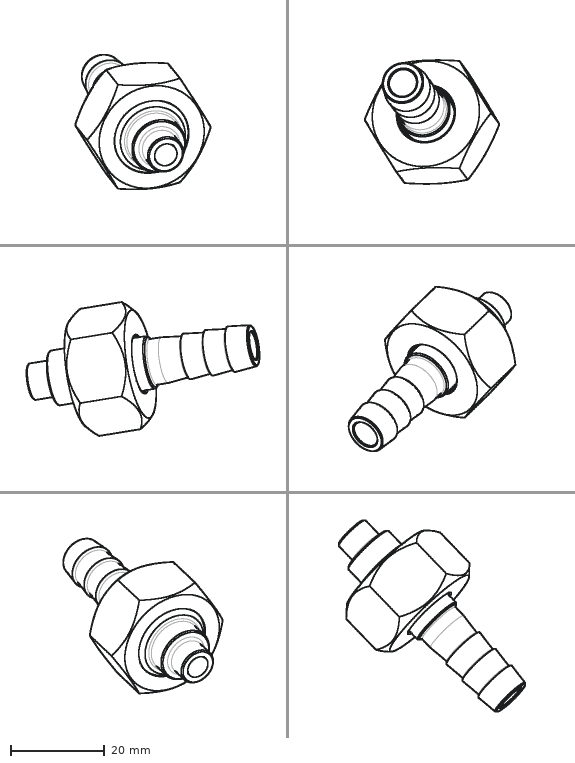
import cadquery as cq
import math

total_length = 50.0

nut_start = 25.5
nut_length = 13.5
nut_end = nut_start + nut_length
nut_across_flats = 24.0
nut_corner_radius = nut_across_flats / math.sqrt(3)
nut_face_radius = 11.75
nut_corner_chamfer = nut_corner_radius - nut_face_radius
nut_lip_thickness = 3.0
nut_hole_radius = 12.3 / 2
nut_hole_chamfer = 0.3
thread_radius = 16.6 / 2
shoulder = nut_start + nut_lip_thickness

barb_pitch = 5.0
barb_count = 3
barb_radius = 10.0 / 2
barb_root_radius = 4.5
barb_fillet = 0.4
tail_tip_chamfer = 0.25
cylinder_start = 20.0
collar_start = 22.9
collar_radius = 11.5 / 2
collar_chamfer = 0.3
collar_fillet = 0.3
tail_flange_radius = 14.95 / 2
tail_flange_thickness = 3.0
joint = shoulder + tail_flange_thickness
tail_bore_radius = 6.0 / 2
tail_bore_chamfer = 0.25

flange_end = 39.9
flange_face_radius = 14.5 / 2
flange_cone_length = 1.4
nozzle_body_radius = 12.0 / 2
nozzle_body_end = 44.85
nozzle_body_fillet = 0.4
nozzle_body_chamfer = 0.3
spigot_radius = 8.0 / 2
spigot_fillet = 0.6
spigot_chamfer = 0.3
nozzle_bore_radius = 5.0 / 2
nozzle_bore_cone = tail_bore_radius - nozzle_bore_radius


def revolve_about_x(outline):
    """Close an outline of (x, radius) points and turn it fully about the X axis."""
    return outline.close().revolve(360, (0, 0, 0), (1, 0, 0))


def revolve_polyline(points):
    return revolve_about_x(cq.Workplane("XY").polyline(points))


def concave_fillet(outline, x, radius, size, side):
    """Add a quarter round in a corner at (x, radius); side is +1 after a wall, -1 before it."""
    diagonal = size * (1 - math.sqrt(0.5))
    middle = (x + side * diagonal, radius + diagonal)
    wall_point = (x, radius + size)
    cylinder_point = (x + side * size, radius)
    if side > 0:
        return outline.lineTo(*wall_point).threePointArc(middle, cylinder_point)
    return outline.lineTo(*cylinder_point).threePointArc(middle, wall_point)


def make_tail():
    outline = cq.Workplane("XY").moveTo(0, tail_bore_radius + tail_bore_chamfer)
    outline = outline.lineTo(0, barb_root_radius - tail_tip_chamfer)
    outline = outline.lineTo(tail_tip_chamfer, barb_root_radius)
    for barb in range(1, barb_count + 1):
        barb_end = barb * barb_pitch
        outline = outline.lineTo(barb_end, barb_radius)
        outline = concave_fillet(outline, barb_end, barb_root_radius, barb_fillet, 1)
    outline = outline.lineTo(cylinder_start, barb_radius)
    outline = concave_fillet(outline, collar_start, barb_radius, collar_fillet, -1)
    outline = outline.lineTo(collar_start, collar_radius - collar_chamfer)
    outline = outline.lineTo(collar_start + collar_chamfer, collar_radius)
    outline = outline.lineTo(shoulder, collar_radius)
    outline = outline.lineTo(shoulder, tail_flange_radius)
    outline = outline.lineTo(joint, tail_flange_radius)
    outline = outline.lineTo(joint, tail_bore_radius)
    outline = outline.lineTo(tail_bore_chamfer, tail_bore_radius)
    return revolve_about_x(outline)


def make_nozzle():
    outline = cq.Workplane("XY").moveTo(joint, tail_bore_radius)
    outline = outline.lineTo(joint, thread_radius)
    outline = outline.lineTo(flange_end - flange_cone_length, thread_radius)
    outline = outline.lineTo(flange_end, flange_face_radius)
    outline = concave_fillet(outline, flange_end, nozzle_body_radius, nozzle_body_fillet, 1)
    outline = outline.lineTo(nozzle_body_end - nozzle_body_chamfer, nozzle_body_radius)
    outline = outline.lineTo(nozzle_body_end, nozzle_body_radius - nozzle_body_chamfer)
    outline = concave_fillet(outline, nozzle_body_end, spigot_radius, spigot_fillet, 1)
    outline = outline.lineTo(total_length - spigot_chamfer, spigot_radius)
    outline = outline.lineTo(total_length, spigot_radius - spigot_chamfer)
    outline = outline.lineTo(total_length, nozzle_bore_radius)
    outline = outline.lineTo(joint + nozzle_bore_cone, nozzle_bore_radius)
    return revolve_about_x(outline)


def make_nut():
    prism = (
        cq.Workplane("YZ", origin=(nut_start, 0, 0))
        .polygon(6, 2 * nut_corner_radius)
        .extrude(nut_length)
    )
    chamfered_envelope = revolve_polyline([
        (nut_start, 0),
        (nut_start, nut_face_radius),
        (nut_start + nut_corner_chamfer, nut_corner_radius),
        (nut_end - nut_corner_chamfer, nut_corner_radius),
        (nut_end, nut_face_radius),
        (nut_end, 0),
    ])
    stepped_hole = revolve_polyline([
        (nut_start, 0),
        (nut_start, nut_hole_radius + nut_hole_chamfer),
        (nut_start + nut_hole_chamfer, nut_hole_radius),
        (shoulder, nut_hole_radius),
        (shoulder, thread_radius),
        (nut_end, thread_radius),
        (nut_end, 0),
    ])
    return prism.intersect(chamfered_envelope).cut(stepped_hole)


tail = make_tail()
nozzle = make_nozzle()
nut = make_nut()

result = cq.Compound.makeCompound([tail.val(), nozzle.val(), nut.val()])